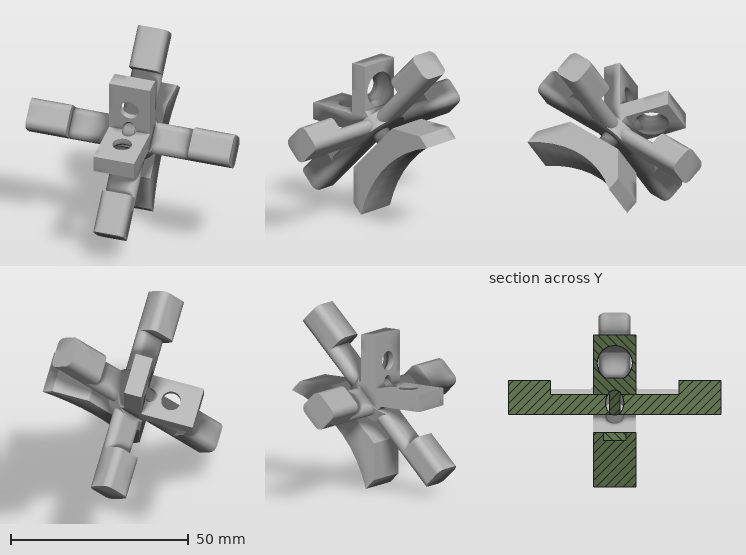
import cadquery as cq

TILT = 45
AXIS_OFFSET = 0.25

HANDLE_SPAN = 60
ARM_WIDTH = 9
ARM_HEIGHT = 4.0
LUG_LENGTH = 12
LUG_HEIGHT = 8.0
HUB_DIAMETER = 15

ROD_DIAMETER = 5.0
ROD_FLATS = 3
ROD_PROTRUSION = 0.35

BRACKET_WIDTH = 12
BLOCK_DEPTH = 9.55
BRACKET_CORNER_HEIGHT = 8.0
PLATE_LENGTH = 15
CORNER_HOLE_DIAMETER = 4.2
PLATE_THICKNESS = 5.0
SCREW_HOLE_POSITION = 7.0
SCREW_HOLE_DIAMETER = 5.5
SCREW_HEAD_DIAMETER = 10.0
SCREW_HEAD_RECESS = 1.0

SADDLE_WIDTH = 12
SADDLE_FACE_HEIGHT = -3.55
SADDLE_SHOULDER_HEIGHT = -11.0
SADDLE_TIP_HEIGHT = -15.05
SADDLE_ARCH_HEIGHT = -10.3
SADDLE_FACE_LENGTH = 21
SADDLE_LENGTH = 36
FOOT_LENGTH = 15
FOOT_WIDTH = 6.35
FOOT_DEPTH = 3


def make_rod():
    """Screw rod standing on the foot, with two flats that run down into a round collar."""
    base = cq.Workplane("XY", origin=(0, 0, SADDLE_FACE_HEIGHT))
    rod_length = BRACKET_CORNER_HEIGHT + ROD_PROTRUSION - SADDLE_FACE_HEIGHT
    between_flats = base.rect(ROD_FLATS, ROD_DIAMETER).extrude(rod_length)
    flatted = base.circle(ROD_DIAMETER / 2).extrude(rod_length).intersect(between_flats)
    collar = base.circle(ROD_DIAMETER / 2).extrude(-SADDLE_FACE_HEIGHT)
    return collar.union(flatted, clean=False)


def make_bar():
    """One bar of the cross along X: a stadium-section arm with a taller lug at each end."""
    edge_radius = ARM_HEIGHT / 2
    arm = (
        cq.Workplane("YZ", origin=(-HANDLE_SPAN / 2, 0, edge_radius))
        .slot2D(ARM_WIDTH, ARM_HEIGHT)
        .extrude(HANDLE_SPAN)
    )
    lug_centre = (HANDLE_SPAN - LUG_LENGTH) / 2
    lugs = (
        cq.Workplane("XY")
        .pushPoints([(-lug_centre, 0), (lug_centre, 0)])
        .rect(LUG_LENGTH, ARM_WIDTH)
        .extrude(LUG_HEIGHT)
        .edges("|X")
        .fillet(edge_radius)
    )
    return arm.union(lugs, clean=False)


def make_handle():
    """Cross handle: two crossing bars and a round hub, with a round bore for the rod."""
    bar = make_bar()
    crossbar = bar.rotate((0, 0, 0), (0, 0, 1), 90)
    hub = cq.Workplane("XY").circle(HUB_DIAMETER / 2).extrude(ARM_HEIGHT)
    cross = hub.union(bar, clean=False).union(crossbar, clean=False)
    bore = cq.Workplane("XY").circle(ROD_DIAMETER / 2).extrude(ARM_HEIGHT)
    return cross.translate((0, AXIS_OFFSET, 0)).cut(bore, clean=False)


def make_plate():
    """Upright plate with its inner bottom edge on the X axis and a hole countersunk at the back."""
    cone_depth = (SCREW_HEAD_DIAMETER - SCREW_HOLE_DIAMETER) / 2
    cone_start = PLATE_THICKNESS - SCREW_HEAD_RECESS - cone_depth
    hole_radius = SCREW_HOLE_DIAMETER / 2
    head_radius = SCREW_HEAD_DIAMETER / 2
    plate = cq.Workplane("XY").box(
        BRACKET_WIDTH, PLATE_THICKNESS, PLATE_LENGTH, centered=(True, False, False)
    )
    screw_hole = (
        cq.Workplane("XY")
        .polyline([
            (0, 0),
            (hole_radius, 0),
            (hole_radius, cone_start),
            (head_radius, cone_start + cone_depth),
            (head_radius, PLATE_THICKNESS),
            (0, PLATE_THICKNESS),
        ])
        .close()
        .revolve(360, (0, 0, 0), (0, 1, 0))
        .translate((0, 0, SCREW_HOLE_POSITION))
    )
    return plate.cut(screw_hole)


def make_bracket(rod):
    """Block with two plates forming an L, bored to fit the flatted rod."""
    block = (
        cq.Workplane("XY", origin=(0, 0, ARM_HEIGHT))
        .rect(BRACKET_WIDTH, BLOCK_DEPTH)
        .extrude(BRACKET_CORNER_HEIGHT - ARM_HEIGHT)
    )
    plate = (
        make_plate()
        .rotate((0, 0, 0), (1, 0, 0), -TILT)
        .translate((0, 0, BRACKET_CORNER_HEIGHT))
    )
    corner_hole = (
        cq.Workplane("XY", origin=(0, 0, BRACKET_CORNER_HEIGHT))
        .circle(CORNER_HOLE_DIAMETER / 2)
        .extrude(PLATE_LENGTH)
    )
    bracket = block.union(plate, clean=False).union(plate.mirror("XZ"), clean=False)
    return bracket.cut(corner_hole, clean=False).translate((0, AXIS_OFFSET, 0)).cut(rod, clean=False)


def make_foot():
    """Rectangular foot, flush with the flat face of the saddle."""
    return (
        cq.Workplane("XY", origin=(0, 0, SADDLE_FACE_HEIGHT))
        .rect(FOOT_WIDTH, FOOT_LENGTH)
        .extrude(-FOOT_DEPTH)
    )


def make_saddle(foot):
    """Saddle with a concave underside and a pocket for the foot."""
    face_end = SADDLE_FACE_LENGTH / 2
    tip_end = SADDLE_LENGTH / 2
    saddle = (
        cq.Workplane("YZ", origin=(-SADDLE_WIDTH / 2, 0, 0))
        .moveTo(-face_end, SADDLE_FACE_HEIGHT)
        .lineTo(face_end, SADDLE_FACE_HEIGHT)
        .lineTo(tip_end, SADDLE_SHOULDER_HEIGHT)
        .lineTo(tip_end, SADDLE_TIP_HEIGHT)
        .threePointArc((0, SADDLE_ARCH_HEIGHT), (-tip_end, SADDLE_TIP_HEIGHT))
        .lineTo(-tip_end, SADDLE_SHOULDER_HEIGHT)
        .close()
        .extrude(SADDLE_WIDTH)
    )
    return saddle.cut(foot)


rod = make_rod()
handle = make_handle()
bracket = make_bracket(rod)
foot = make_foot()
saddle = make_saddle(foot)

upright = cq.Compound.makeCompound([
    handle.val(),
    bracket.val(),
    rod.val(),
    foot.val(),
    saddle.val(),
])
result = upright.rotate(cq.Vector(0, 0, 0), cq.Vector(1, 0, 0), TILT)